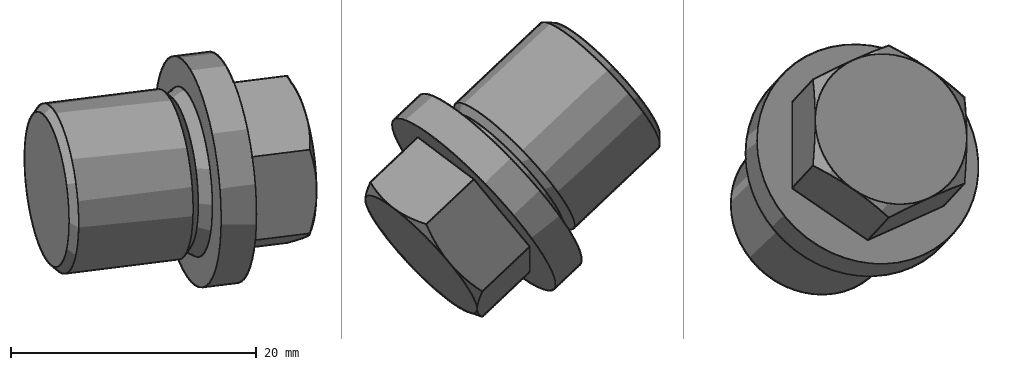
import cadquery as cq
import math

total_length = 21.0
head_height = 6.0
flange_thickness = 3.0
flange_diameter = 19.0
across_flats = 13.0
head_bevel_angle = 30.0

shank_diameter = 14.0
chamfer = 0.63
relief_taper_length = 1.0

flange_radius = flange_diameter / 2
shank_radius = shank_diameter / 2
relief_radius = shank_radius - chamfer
across_corners = across_flats / math.cos(math.radians(30))

flange_start = total_length - head_height - flange_thickness
head_start = flange_start + flange_thickness
relief_bottom = flange_start - relief_taper_length


def make_turned_body():
    """Shank, V-shaped relief groove and flange revolved about Y."""
    profile = [
        (0, 0),
        (relief_radius, 0),
        (shank_radius, chamfer),
        (shank_radius, relief_bottom - chamfer),
        (relief_radius, relief_bottom),
        (shank_radius, flange_start),
        (flange_radius, flange_start),
        (flange_radius, head_start),
        (0, head_start),
    ]
    return cq.Workplane("XY").polyline(profile).close().revolve(360, (0, 0), (0, 1))


def make_head():
    """Hexagon with corners toward +Z and -Z, its outer end bevelled by a cone."""
    hexagon = (
        cq.Workplane("XZ", origin=(0, head_start, 0))
        .transformed(rotate=(0, 0, 90))
        .polygon(6, across_corners)
        .extrude(-head_height)
    )
    face_radius = across_flats / 2
    bevel_drop = (flange_radius - face_radius) * math.tan(math.radians(head_bevel_angle))
    envelope = [
        (0, head_start),
        (flange_radius, head_start),
        (flange_radius, total_length - bevel_drop),
        (face_radius, total_length),
        (0, total_length),
    ]
    cone = cq.Workplane("XY").polyline(envelope).close().revolve(360, (0, 0), (0, 1))
    return hexagon.intersect(cone)


result = make_turned_body().union(make_head())